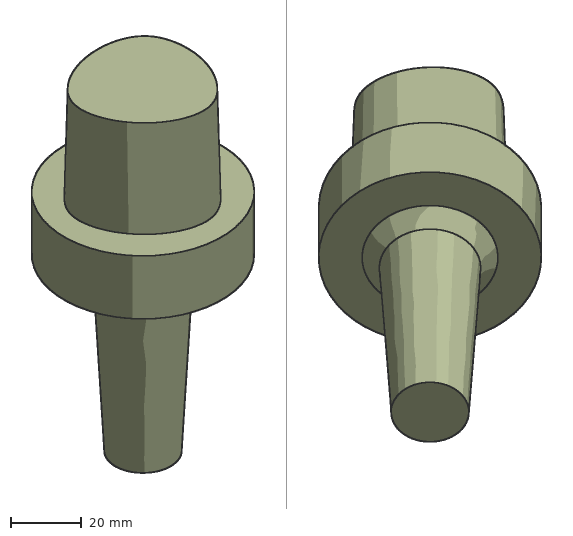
import cadquery as cq
import math

total_height = 128.0
flange_bottom = 68.1
flange_top = 90.0
collar_bottom = 63.5

flange_radius = 63.0 / 2
collar_top_radius = 19.2
collar_sag = 0.3
stem_top_radius = 14.3
stem_tip_radius = 11.0

shank_base_radius = 22.1
shank_taper = 1 / 20
shank_length = total_height - flange_top
shank_tip_radius = shank_base_radius - shank_taper * shank_length / 2
lobe_eccentricity = 1.2
lobe_direction = -math.pi / 2
outline_points = 36


def trilobe_point(mean_radius, angle):
    """Point on a three-lobed curve of constant width, lobe on the -Y axis."""
    along = mean_radius * math.cos(angle)
    along += lobe_eccentricity * (2 * math.cos(2 * angle) - math.cos(4 * angle))
    across = mean_radius * math.sin(angle)
    across -= lobe_eccentricity * (2 * math.sin(2 * angle) + math.sin(4 * angle))
    cos_lobe = math.cos(lobe_direction)
    sin_lobe = math.sin(lobe_direction)
    return (along * cos_lobe - across * sin_lobe, along * sin_lobe + across * cos_lobe)


def trilobe_outline(mean_radius):
    step = 2 * math.pi / outline_points
    return [trilobe_point(mean_radius, i * step) for i in range(outline_points)]


def make_round_body():
    """Tapered stem, concave collar and flange as one revolved profile."""
    return (
        cq.Workplane("XZ")
        .lineTo(stem_tip_radius, 0)
        .lineTo(stem_top_radius, collar_bottom)
        .sagittaArc((collar_top_radius, flange_bottom), collar_sag)
        .lineTo(flange_radius, flange_bottom)
        .lineTo(flange_radius, flange_top)
        .lineTo(0, flange_top)
        .close()
        .revolve(360, (0, 0), (0, 1))
    )


def make_shank():
    return (
        cq.Workplane("XY", origin=(0, 0, flange_top))
        .spline(trilobe_outline(shank_base_radius), periodic=True)
        .close()
        .workplane(offset=shank_length)
        .spline(trilobe_outline(shank_tip_radius), periodic=True)
        .close()
        .loft(ruled=True)
    )


result = make_round_body().union(make_shank())